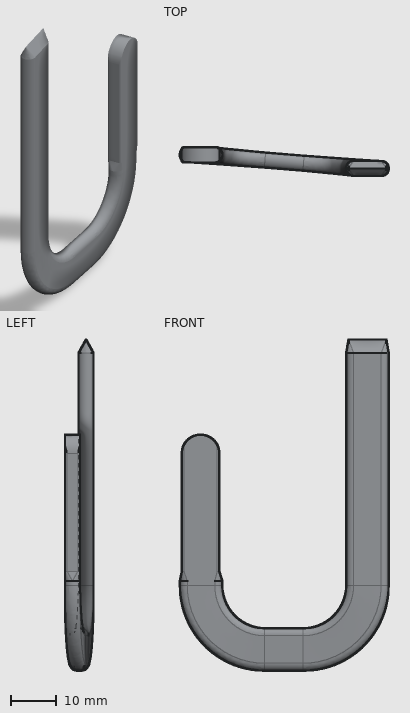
import cadquery as cq
import math

OVERALL_WIDTH = 45.9
OVERALL_DEPTH = 6.3
OVERALL_HEIGHT = 72.7
BAR_WIDTH = 9.4
BAR_THICKNESS = 3.35
OUTER_RADIUS = 18.75

TIP_LENGTH = 3.0
TIP_SIDE_INSET = 0.5
RIDGE_THICKNESS = 0.015

SHORT_LEG_WIDTH = 8.3
SHORT_LEG_SHIFT = 0.11
SHORT_LEG_TOP = 33.1
SHORT_LEG_EDGE_RADIUS = 0.5
COLLAR_HEIGHT = 0.95
SIDE_FLAT = 0.015
SHORT_LEG_START = 3.05

BEND_RADIUS = OUTER_RADIUS - BAR_WIDTH / 2
LEG_X = (OVERALL_WIDTH - BAR_WIDTH) / 2
LEG_Y = (OVERALL_DEPTH - BAR_THICKNESS) / 2
LEG_DISTANCE = math.hypot(LEG_X, LEG_Y)
BASE_DIRECTION = cq.Vector(LEG_X / LEG_DISTANCE, -LEG_Y / LEG_DISTANCE, 0)
BASE_HALF_LENGTH = LEG_DISTANCE - BEND_RADIUS
LONG_LEG_TOP = OVERALL_HEIGHT - OUTER_RADIUS
SHOULDER_Z = LONG_LEG_TOP - TIP_LENGTH


def base_point(distance, z):
    """Point in the oblique plane of the U, at a distance from its middle."""
    return BASE_DIRECTION * distance + cq.Vector(0, 0, z)


def leg_plane(side, z=0):
    """Horizontal section plane of a leg: side -1 is short, +1 is long."""
    return cq.Plane(origin=(side * LEG_X, -side * LEG_Y, z), xDir=(1, 0, 0), normal=(0, 0, 1))


def make_bend(side):
    """Quarter bend whose section turns from the leg to the oblique base."""
    leg_end = base_point(side * LEG_DISTANCE, 0)
    diagonal = BEND_RADIUS * math.sqrt(0.5)
    middle = base_point(side * (BASE_HALF_LENGTH + diagonal), -diagonal)
    base_end = base_point(side * BASE_HALF_LENGTH, -BEND_RADIUS)
    path = cq.Workplane(cq.Edge.makeThreePointArc(leg_end, middle, base_end))
    base_plane = cq.Plane(origin=base_end, xDir=(0, 0, side), normal=BASE_DIRECTION * -side)
    leg_section = cq.Workplane(leg_plane(side)).slot2D(BAR_WIDTH, BAR_THICKNESS).wires().val()
    base_section = cq.Workplane(base_plane).slot2D(BAR_WIDTH, BAR_THICKNESS).wires().val()
    sections = cq.Workplane(leg_plane(side)).add(leg_section).toPending().add(base_section).toPending()
    return sections.sweep(path, multisection=True)


def make_base():
    """Straight oblique bar between the two bends."""
    start = base_point(-BASE_HALF_LENGTH, -BEND_RADIUS)
    plane = cq.Plane(origin=start, xDir=(0, 0, 1), normal=BASE_DIRECTION)
    return cq.Workplane(plane).slot2D(BAR_WIDTH, BAR_THICKNESS).extrude(2 * BASE_HALF_LENGTH)


def make_long_leg():
    """Round-edged bar ending in a thin ridge across its width."""
    bar = cq.Workplane(leg_plane(1)).slot2D(BAR_WIDTH, BAR_THICKNESS).extrude(SHOULDER_Z)
    tip = (
        cq.Workplane(leg_plane(1, SHOULDER_Z))
        .slot2D(BAR_WIDTH, BAR_THICKNESS)
        .workplane(offset=TIP_LENGTH)
        .slot2D(BAR_WIDTH - 2 * TIP_SIDE_INSET, RIDGE_THICKNESS)
        .loft(ruled=True)
    )
    return bar.union(tip)


def make_short_leg():
    """Flat leg with softened long edges and a full round top."""
    blank = (
        cq.Workplane(leg_plane(-1, SHORT_LEG_START))
        .center(-SHORT_LEG_SHIFT, 0)
        .rect(SHORT_LEG_WIDTH, BAR_THICKNESS)
        .extrude(SHORT_LEG_TOP - SHORT_LEG_START)
        .edges("|Z")
        .fillet(SHORT_LEG_EDGE_RADIUS)
    )
    center_x = -LEG_X - SHORT_LEG_SHIFT
    half_width = SHORT_LEG_WIDTH / 2
    round_top = (
        cq.Workplane("XZ")
        .moveTo(center_x - half_width, 0)
        .lineTo(center_x - half_width, SHORT_LEG_TOP - half_width)
        .threePointArc((center_x, SHORT_LEG_TOP), (center_x + half_width, SHORT_LEG_TOP - half_width))
        .lineTo(center_x + half_width, 0)
        .close()
        .extrude(OVERALL_DEPTH, both=True)
    )
    return blank.intersect(round_top)


def make_collar():
    """Transition from the round-edged bend to the flat short leg."""
    stub = cq.Workplane(leg_plane(-1)).slot2D(BAR_WIDTH, BAR_THICKNESS).extrude(COLLAR_HEIGHT)
    leg_sketch = cq.Sketch().rect(SHORT_LEG_WIDTH, BAR_THICKNESS).vertices().fillet(SHORT_LEG_EDGE_RADIUS)
    bar_edge_radius = (BAR_THICKNESS - SIDE_FLAT) / 2
    bar_sketch = cq.Sketch().rect(BAR_WIDTH, BAR_THICKNESS).vertices().fillet(bar_edge_radius)
    leg_offset = cq.Vector(-SHORT_LEG_SHIFT, 0, SHORT_LEG_START - COLLAR_HEIGHT)
    taper = (
        cq.Workplane(leg_plane(-1, COLLAR_HEIGHT))
        .placeSketch(bar_sketch, leg_sketch.moved(cq.Location(leg_offset)))
        .loft(ruled=True)
    )
    return stub.union(taper)


result = (
    make_base()
    .union(make_bend(-1))
    .union(make_bend(1))
    .union(make_long_leg())
    .union(make_collar())
    .union(make_short_leg())
)